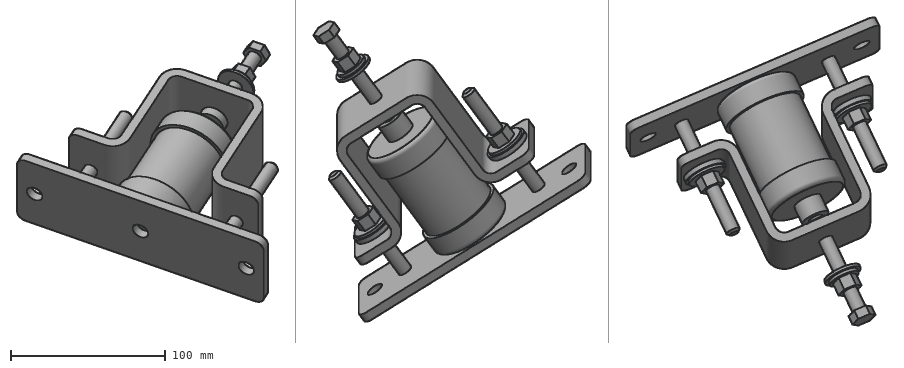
import cadquery as cq
import math


plate_length = 177.8
plate_width = 57.15
plate_thickness = 6.35
corner_radius = 6.35
plate_hole_diameter = 11.1
plate_hole_offset = 76.2

bracket_thickness = 6.35
bracket_inner_width = 60.325
bracket_length = 136.525
bracket_foot_y = 34.925
bracket_top_y = 117.475
bend_outer_radius = 12.7

barrel_diameter = 50.8
cap_diameter = 55.5625
cap_length = 15.875
cap_fillet = 3.175
cylinder_bottom_y = plate_thickness
cylinder_top_y = 88.9

collar_diameter = 19.05
lower_collar_top_y = 101.6
upper_collar_bottom_y = 104.775

rod_diameter = 9.525
hex_across_flats = 14.2875
hex_sides = 6
nut_height = 8.73

bolt_end_y = 177.8
bolt_head_height = 6.35
bolt_washer_y = 142.875
bolt_washer_diameter = 25.4
bolt_washer_thickness = 2.0
lock_washer_diameter = 20.64
lock_washer_thickness = 2.2

stud_offset = 52.3875
stud_end_y = 89.2
stud_tip_chamfer = 1.6
stud_bushing_diameter = 28.575
stud_bushing_thickness = 3.4
stud_washer_diameter = 25.4
stud_washer_thickness = 1.9


def section_at(y, x=0):
    """Workplane normal to +Y, centred at (x, y, 0)."""
    return cq.Workplane(cq.Plane(origin=(x, y, 0), xDir=(1, 0, 0), normal=(0, 1, 0)))


def disc(diameter, y_start, y_end, x=0):
    return section_at(y_start, x).circle(diameter / 2).extrude(y_end - y_start)


def hexagon(y_start, height, x=0):
    """Hexagonal prism with two corners on the X direction."""
    across_corners = hex_across_flats / math.cos(math.pi / hex_sides)
    return section_at(y_start, x).polygon(hex_sides, across_corners).extrude(height)


def make_base_plate():
    plate = section_at(0).rect(plate_length, plate_width).extrude(plate_thickness)
    plate = plate.edges("|Y").fillet(corner_radius)
    for x in (-plate_hole_offset, 0, plate_hole_offset):
        plate = plate.cut(disc(plate_hole_diameter, 0, plate_thickness, x))
    return plate


def make_bracket():
    """Hat-shaped strip bent along its centreline, with rounded foot corners."""
    middle_radius = bend_outer_radius - bracket_thickness / 2
    wall_x = (bracket_inner_width + bracket_thickness) / 2
    foot_y = bracket_foot_y + bracket_thickness / 2
    crown_y = bracket_top_y - bracket_thickness / 2
    end_x = bracket_length / 2
    centreline = (
        cq.Workplane("XY")
        .moveTo(-end_x, foot_y)
        .lineTo(-wall_x - middle_radius, foot_y)
        .radiusArc((-wall_x, foot_y + middle_radius), -middle_radius)
        .lineTo(-wall_x, crown_y - middle_radius)
        .radiusArc((-wall_x + middle_radius, crown_y), middle_radius)
        .lineTo(wall_x - middle_radius, crown_y)
        .radiusArc((wall_x, crown_y - middle_radius), middle_radius)
        .lineTo(wall_x, foot_y + middle_radius)
        .radiusArc((wall_x + middle_radius, foot_y), -middle_radius)
        .lineTo(end_x, foot_y)
    )
    strip = cq.Workplane("YZ", origin=(-end_x, foot_y, 0)).rect(bracket_thickness, plate_width)
    bracket = strip.sweep(centreline)
    return bracket.edges("|Y").edges("<X or >X").fillet(corner_radius)


def make_cylinder():
    barrel = disc(barrel_diameter, cylinder_bottom_y, cylinder_top_y)
    bottom_cap = disc(cap_diameter, cylinder_bottom_y, cylinder_bottom_y + cap_length)
    top_cap = disc(cap_diameter, cylinder_top_y - cap_length, cylinder_top_y)
    bottom_cap = bottom_cap.faces("<Y").edges().fillet(cap_fillet)
    top_cap = top_cap.faces(">Y").edges().fillet(cap_fillet)
    return barrel.union(bottom_cap).union(top_cap)


def make_collars():
    lower_collar = disc(collar_diameter, cylinder_top_y, lower_collar_top_y)
    upper_collar = disc(collar_diameter, upper_collar_bottom_y, bracket_top_y - bracket_thickness)
    return lower_collar.union(upper_collar)


def make_centre_bolt():
    washer_top_y = bolt_washer_y + bolt_washer_thickness
    nut_y = washer_top_y + lock_washer_thickness
    bolt = disc(rod_diameter, cylinder_top_y, bolt_end_y)
    bolt = bolt.union(hexagon(bolt_end_y - bolt_head_height, bolt_head_height))
    bolt = bolt.union(disc(bolt_washer_diameter, bolt_washer_y, washer_top_y))
    bolt = bolt.union(disc(lock_washer_diameter, washer_top_y, nut_y))
    return bolt.union(hexagon(nut_y, nut_height))


def make_stud(x):
    bushing_y = bracket_foot_y + bracket_thickness
    washer_y = bushing_y + stud_bushing_thickness
    nut_y = washer_y + stud_washer_thickness
    stud = disc(rod_diameter, plate_thickness, stud_end_y, x)
    stud = stud.faces(">Y").chamfer(stud_tip_chamfer)
    stud = stud.union(disc(stud_bushing_diameter, bushing_y, washer_y, x))
    stud = stud.union(disc(stud_washer_diameter, washer_y, nut_y, x))
    return stud.union(hexagon(nut_y, nut_height, x))


result = make_base_plate().union(make_bracket()).union(make_cylinder())
result = result.union(make_collars()).union(make_centre_bolt())
for stud_x in (-stud_offset, stud_offset):
    result = result.union(make_stud(stud_x))